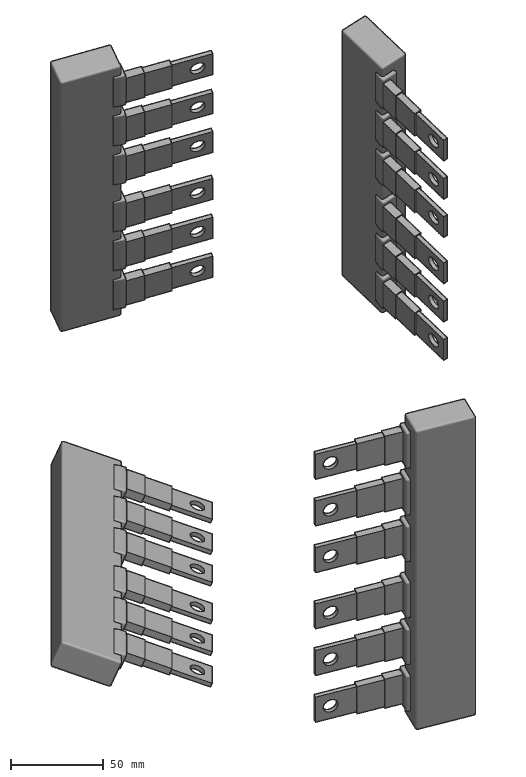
import cadquery as cq

HOUSING_WIDTH = 17.0
HOUSING_DEPTH = 35.0
HOUSING_HEIGHT = 212.0
HOUSING_FILLET = 1.3

COLLAR_X_MIN = 8.3
COLLAR_X_MAX = 18.2
COLLAR_HEIGHT = 25.5
COLLAR_RISE = 2.3
COLLAR_TOP = HOUSING_DEPTH + COLLAR_RISE
COLLAR_FILLET = 1.0
TAPER_START = 34.3
COLLAR_FOOT = 30.0
COLLAR_FOOT_X = 17.5

TERMINAL_X = 15.7
TERMINAL_TIP = 87.5
BLADE_LENGTH = 23.7
BLADE_THICKNESS = 2.5
BLADE_HEIGHT = 17.8
MIDDLE_LENGTH = 16.0
MIDDLE_THICKNESS = 4.2
MIDDLE_HEIGHT = 19.3
ROOT_THICKNESS = 2 * (COLLAR_X_MAX - TERMINAL_X)
ROOT_HEIGHT = 20.5
HOLE_DIAMETER = 8.5
HOLE_FROM_TIP = 8.7
BLADE_START = TERMINAL_TIP - BLADE_LENGTH
MIDDLE_START = BLADE_START - MIDDLE_LENGTH

TERMINALS_PER_GROUP = 3
FIRST_OFFSET = 20.0
PITCH = 33.0
TERMINAL_OFFSETS = [FIRST_OFFSET + i * PITCH for i in range(TERMINALS_PER_GROUP)]
TERMINAL_HEIGHTS = [
    HOUSING_HEIGHT / 2 + side * offset for side in (-1, 1) for offset in TERMINAL_OFFSETS
]


def make_collar(z_center):
    """Rounded block over the rear +X edge of the housing, thinning toward its foot."""
    outline = [
        (COLLAR_X_MIN, COLLAR_FOOT),
        (COLLAR_X_MIN, COLLAR_TOP),
        (COLLAR_X_MAX, COLLAR_TOP),
        (COLLAR_X_MAX, TAPER_START),
        (COLLAR_FOOT_X, COLLAR_FOOT),
    ]
    collar = (
        cq.Workplane("XY")
        .workplane(offset=z_center - COLLAR_HEIGHT / 2)
        .polyline(outline)
        .close()
        .extrude(COLLAR_HEIGHT)
    )
    rear_corners = collar.faces(">Y").edges("|Z")
    end_edges = collar.faces("<Z or >Z").edges("not <Y")
    return end_edges.add(rear_corners).fillet(COLLAR_FILLET)


def make_housing():
    """Bar with all edges rounded, carrying one collar per terminal."""
    bar = cq.Workplane("XY").box(HOUSING_WIDTH, HOUSING_DEPTH, HOUSING_HEIGHT, centered=False)
    body = bar.edges().fillet(HOUSING_FILLET)
    for z_center in TERMINAL_HEIGHTS:
        body = body.union(make_collar(z_center))
    return body


def make_section(thickness, height, y_start, y_end, z_center):
    """One rectangular length of a terminal, centred on the terminal's own plane."""
    return (
        cq.Workplane("XY")
        .box(thickness, y_end - y_start, height, centered=(True, False, True))
        .translate((TERMINAL_X, y_start, z_center))
    )


def make_terminal(z_center):
    """Stepped terminal standing on its collar, with a fixing hole near the tip."""
    root = make_section(ROOT_THICKNESS, ROOT_HEIGHT, COLLAR_TOP, MIDDLE_START, z_center)
    middle = make_section(MIDDLE_THICKNESS, MIDDLE_HEIGHT, MIDDLE_START, BLADE_START, z_center)
    blade = make_section(BLADE_THICKNESS, BLADE_HEIGHT, BLADE_START, TERMINAL_TIP, z_center)
    hole = (
        cq.Workplane("YZ", origin=(TERMINAL_X, TERMINAL_TIP - HOLE_FROM_TIP, z_center))
        .circle(HOLE_DIAMETER / 2)
        .extrude(BLADE_THICKNESS, both=True)
    )
    return root.union(middle).union(blade).cut(hole)


housing = make_housing().solids()
terminals = [make_terminal(z_center).solids() for z_center in TERMINAL_HEIGHTS]
result = cq.Compound.makeCompound([housing.val(), *[terminal.val() for terminal in terminals]])